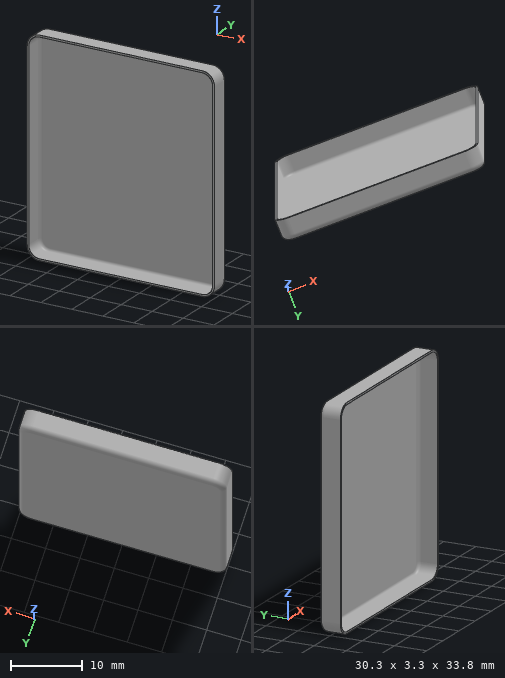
import cadquery as cq

width = 30.3
depth = 3.3
height = 33.8
wall = 0.3
corner_radius = 2.0
back_edge_radius = 0.8
floor_radius = back_edge_radius - wall


def rounded_block(inset, length, edge_radius):
    """Block from the open face toward +Y, with rounded corners and far edge."""
    block = cq.Workplane("XZ").rect(width - 2 * inset, height - 2 * inset).extrude(-length)
    block = block.edges("|Y").fillet(corner_radius - inset)
    return block.faces(">Y").edges().fillet(edge_radius)


shell = rounded_block(0, depth, back_edge_radius)
cavity = rounded_block(wall, depth - wall, floor_radius)
result = shell.cut(cavity)